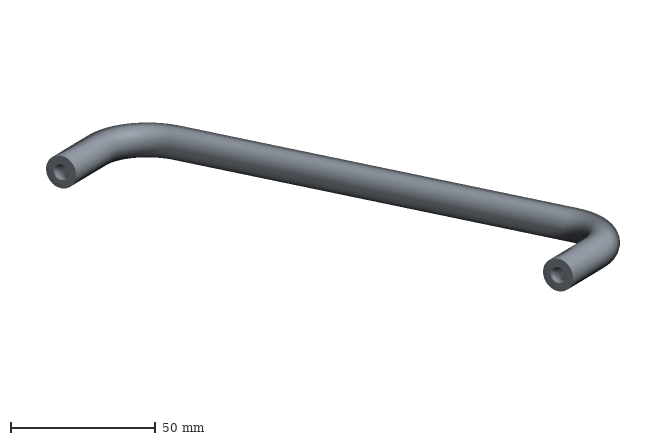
import cadquery as cq
import math

overall_length = 212.0
overall_depth = 51.0
rod_diameter = 12.0
bend_radius = 20.0

hole_diameter = 5.0
hole_depth = 12.0
drill_point_angle = 118.0
countersink_diameter = 6.0

rod_radius = rod_diameter / 2
foot_x = (overall_length - rod_diameter) / 2
grip_y = overall_depth - rod_radius


def bent_rod():
    """Sweep a round rod along the U-shaped centreline, feet at Y = 0."""
    centreline = (
        cq.Workplane("XY")
        .moveTo(-foot_x, 0)
        .lineTo(-foot_x, grip_y - bend_radius)
        .radiusArc((-foot_x + bend_radius, grip_y), bend_radius)
        .lineTo(foot_x - bend_radius, grip_y)
        .radiusArc((foot_x, grip_y - bend_radius), bend_radius)
        .lineTo(foot_x, 0)
    )
    foot_section = cq.Workplane("XZ", origin=(-foot_x, 0, 0)).circle(rod_radius)
    return foot_section.sweep(centreline)


def foot_hole(x):
    """Blind hole along +Y with a 45 degree countersink and a conical drill-point bottom."""
    hole_radius = hole_diameter / 2
    mouth_radius = countersink_diameter / 2
    countersink_depth = mouth_radius - hole_radius
    point_depth = hole_radius / math.tan(math.radians(drill_point_angle / 2))
    return (
        cq.Workplane("XY", origin=(x, 0, 0))
        .moveTo(0, 0)
        .lineTo(mouth_radius, 0)
        .lineTo(hole_radius, countersink_depth)
        .lineTo(hole_radius, hole_depth)
        .lineTo(0, hole_depth + point_depth)
        .close()
        .revolve(360, (0, 0, 0), (0, 1, 0))
    )


result = bent_rod()
for x in (-foot_x, foot_x):
    result = result.cut(foot_hole(x))